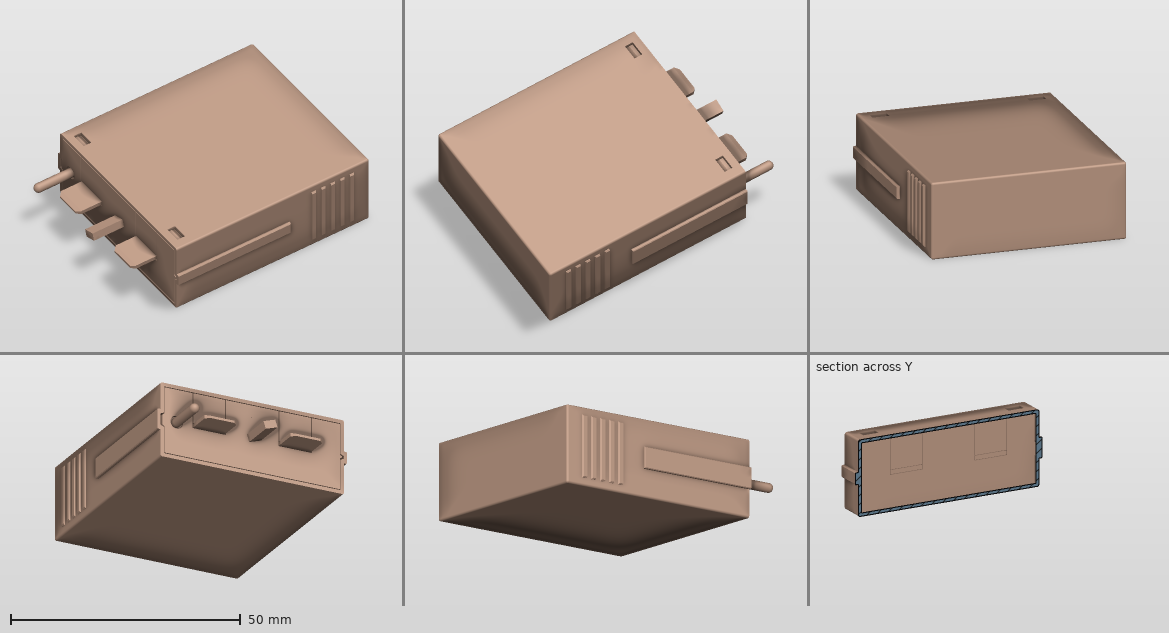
import cadquery as cq
import math


WIDTH = 44.85
HEIGHT = 17.6
LENGTH = 50.8
OVERALL_LENGTH = 60.3
WALL = 0.85
EDGE_RADIUS = 0.5

OVERALL_WIDTH = 46.4
RAIL_LENGTH = 29.65
LEFT_RAIL_HEIGHT = 4.8
RIGHT_RAIL_HEIGHT = 2.85
RAIL_CHAMFER = 0.2

RIB_COUNT = 5
RIB_SPAN = 10.0
RIB_FIRST_Y = 36.05
RIB_WIDTH = 1.2
RIB_HEIGHT = 14.1
RIB_RISE = 0.4
RIB_CHAMFER = 0.3

FIT_GAP = 0.2
BASE_DEPTH = 6.0

LEFT_GROOVE_MOUTH = 1.7
LEFT_GROOVE_FLOOR = 1.3
RIGHT_GROOVE_MOUTH = 0.65
RIGHT_GROOVE_FLOOR = 0.3
TONGUE_RISE = 0.55

WINDOW_X = 18.0
WINDOW_WIDTH = 3.85
WINDOW_FRONT_Y = 1.85
WINDOW_DEPTH = 2.0
CATCH_FLAT = 0.85
CATCH_RISE = 0.55

BLADE_X = 10.5
SLOT_WIDTH = 8.15
SLOT_FLOOR_Z = -0.55
BLADE_THICKNESS = 0.9
BLADE_REACH = 6.15
BLADE_CORNER = 0.9
BLADE_TIP = 1.0
BLADE_TIP_DROP = 0.35

PIN_X = -18.45
PIN_RADIUS = 1.1
PIN_REACH = OVERALL_LENGTH - LENGTH
PIN_RECESS_RADIUS = 1.5
PIN_RECESS_DEPTH = 0.6

PENTAGON_SIDES = 5
PENTAGON_RADIUS = 5.0
KEY_LENGTH = 3.0
KEY_WIDTH = 1.8
KEY_REACH = 7.9
KEY_TILT = 18
KEY_OFFSET = 0.5
KEY_LIFT = 0.1

inner_x = WIDTH / 2 - WALL
inner_z = HEIGHT / 2 - WALL
base_x = inner_x - FIT_GAP
base_z = inner_z - FIT_GAP
rib_pitch = RIB_SPAN / (RIB_COUNT - 1)
blade_width = SLOT_WIDTH - 2 * FIT_GAP
blade_bottom = SLOT_FLOOR_Z + FIT_GAP
blade_top = blade_bottom + BLADE_THICKNESS


def block(x0, x1, y0, y1, z0, z1):
    """Box between two corners."""
    return cq.Workplane("XY").box(x1 - x0, y1 - y0, z1 - z0, centered=False).translate((x0, y0, z0))


def front_prism(points, y0, y1):
    """Prism along Y over an outline of (x, z) points."""
    return cq.Workplane("XZ", origin=(0, y0, 0)).polyline(points).close().extrude(y0 - y1)


def side_wedge(side, root, tip, root_half, tip_half, depth):
    """Trapezoidal bar on one side, narrowing from x = root to x = tip."""
    points = [
        (side * root, -root_half),
        (side * tip, -tip_half),
        (side * tip, tip_half),
        (side * root, root_half),
    ]
    return front_prism(points, 0, depth)


def make_rail(side, height):
    """Guide rail with chamfered outer edges."""
    inside, outside = sorted((side * inner_x, side * OVERALL_WIDTH / 2))
    rail = block(inside, outside, 0, RAIL_LENGTH, -height / 2, height / 2)
    outer_face = ">X" if side > 0 else "<X"
    return rail.faces(outer_face).edges("not <Y").chamfer(RAIL_CHAMFER)


def make_rib(side, y):
    """Grip rib with its back edge and both ends bevelled."""
    root = side * inner_x
    crest = side * (WIDTH / 2 + RIB_RISE)
    x0, x1 = sorted((root, crest))
    rib = block(x0, x1, y - RIB_WIDTH / 2, y + RIB_WIDTH / 2, -RIB_HEIGHT / 2, RIB_HEIGHT / 2)
    outer_face = ">X" if side > 0 else "<X"
    return rib.faces(outer_face).edges("not <Y").chamfer(RIB_CHAMFER)


def make_housing():
    shell = block(-WIDTH / 2, WIDTH / 2, 0, LENGTH, -HEIGHT / 2, HEIGHT / 2)
    shell = shell.edges("|Y or >Y").fillet(EDGE_RADIUS)
    for side, rail_height in ((-1, LEFT_RAIL_HEIGHT), (1, RIGHT_RAIL_HEIGHT)):
        shell = shell.union(make_rail(side, rail_height))
        for index in range(RIB_COUNT):
            shell = shell.union(make_rib(side, RIB_FIRST_Y + index * rib_pitch))
    shell = shell.cut(block(-inner_x, inner_x, 0, LENGTH - WALL, -inner_z, inner_z))
    for x in (-WINDOW_X, WINDOW_X):
        half = WINDOW_WIDTH / 2
        back_y = WINDOW_FRONT_Y + WINDOW_DEPTH
        shell = shell.cut(block(x - half, x + half, WINDOW_FRONT_Y, back_y, 0, HEIGHT / 2))
    groove_floor = WIDTH / 2
    shell = shell.cut(side_wedge(-1, inner_x, groove_floor, LEFT_GROOVE_MOUTH, LEFT_GROOVE_FLOOR, BASE_DEPTH))
    return shell.cut(side_wedge(1, inner_x, groove_floor, RIGHT_GROOVE_MOUTH, RIGHT_GROOVE_FLOOR, BASE_DEPTH))


def make_tongue(side, groove_mouth, groove_floor):
    """Keying tongue that runs in one groove of the housing."""
    return side_wedge(
        side, base_x, base_x + TONGUE_RISE, groove_mouth - FIT_GAP, groove_floor - FIT_GAP, BASE_DEPTH
    )


def make_catch(x):
    """Snap catch: flat behind its front edge, then a ramp down towards +Y."""
    front_y = WINDOW_FRONT_Y + FIT_GAP
    back_y = WINDOW_FRONT_Y + WINDOW_DEPTH - FIT_GAP
    width = WINDOW_WIDTH - 2 * FIT_GAP
    points = [
        (front_y, base_z),
        (front_y, base_z + CATCH_RISE),
        (front_y + CATCH_FLAT, base_z + CATCH_RISE),
        (back_y, base_z),
    ]
    return cq.Workplane("YZ", origin=(x - width / 2, 0, 0)).polyline(points).close().extrude(width)


def make_insert_blank():
    """Upright five-sided prism, with one corner at the top."""
    corners = []
    for index in range(PENTAGON_SIDES):
        angle = math.radians(90 + index * 360 / PENTAGON_SIDES)
        corners.append((PENTAGON_RADIUS * math.cos(angle), PENTAGON_RADIUS * math.sin(angle)))
    return front_prism(corners, 0, BASE_DEPTH)


def make_base():
    base = block(-base_x, base_x, 0, BASE_DEPTH, -base_z, base_z)
    base = base.union(make_tongue(-1, LEFT_GROOVE_MOUTH, LEFT_GROOVE_FLOOR))
    base = base.union(make_tongue(1, RIGHT_GROOVE_MOUTH, RIGHT_GROOVE_FLOOR))
    for x in (-WINDOW_X, WINDOW_X):
        base = base.union(make_catch(x))
    for x in (-BLADE_X, BLADE_X):
        half = SLOT_WIDTH / 2
        base = base.cut(block(x - half, x + half, 0, BASE_DEPTH, SLOT_FLOOR_Z, base_z))
    pin_hole = cq.Workplane("XZ").center(PIN_X, 0).circle(PIN_RADIUS).extrude(-BASE_DEPTH)
    pin_recess = cq.Workplane("XZ").center(PIN_X, 0).circle(PIN_RECESS_RADIUS).extrude(-PIN_RECESS_DEPTH)
    return base.cut(pin_hole).cut(pin_recess).cut(make_insert_blank())


def make_filler(x):
    """Filler that closes a slot above its blade."""
    half = blade_width / 2
    return block(x - half, x + half, 0, BASE_DEPTH, blade_top + FIT_GAP, base_z)


def make_blade(x):
    """Flat blade with bevelled tip corners and a bevelled upper tip edge."""
    half = blade_width / 2
    blade = block(x - half, x + half, -BLADE_REACH, BASE_DEPTH, blade_bottom, blade_top)
    blade = blade.edges("|Z and <Y").chamfer(BLADE_CORNER)
    tip_bevel = (
        cq.Workplane("YZ", origin=(x - half, 0, 0))
        .moveTo(-BLADE_REACH, blade_top)
        .lineTo(-BLADE_REACH + BLADE_TIP, blade_top)
        .lineTo(-BLADE_REACH, blade_top - BLADE_TIP_DROP)
        .close()
        .extrude(blade_width)
    )
    return blade.cut(tip_bevel)


def make_pin():
    """Round pin with a domed tip."""
    pin = cq.Workplane("XZ", origin=(PIN_X, BASE_DEPTH, 0)).circle(PIN_RADIUS)
    pin = pin.extrude(BASE_DEPTH + PIN_REACH - PIN_RADIUS)
    dome = cq.Workplane("XY").sphere(PIN_RADIUS).translate((PIN_X, PIN_RADIUS - PIN_REACH, 0))
    return pin.union(dome)


def make_key():
    """Rectangular key, shifted along its own two sides and then tilted."""
    key = block(-KEY_LENGTH / 2, KEY_LENGTH / 2, -KEY_REACH, BASE_DEPTH, -KEY_WIDTH / 2, KEY_WIDTH / 2)
    return key.translate((KEY_OFFSET, 0, KEY_LIFT)).rotate((0, 0, 0), (0, 1, 0), -KEY_TILT)


housing = make_housing()
base = make_base()
fillers = [make_filler(x) for x in (-BLADE_X, BLADE_X)]
blades = [make_blade(x) for x in (-BLADE_X, BLADE_X)]
pin = make_pin()
key = make_key()
coding_insert = make_insert_blank().cut(key)

result = cq.Compound.makeCompound(
    [
        housing.val(),
        base.val(),
        *[filler.val() for filler in fillers],
        *[blade.val() for blade in blades],
        pin.val(),
        coding_insert.val(),
        key.val(),
    ]
)